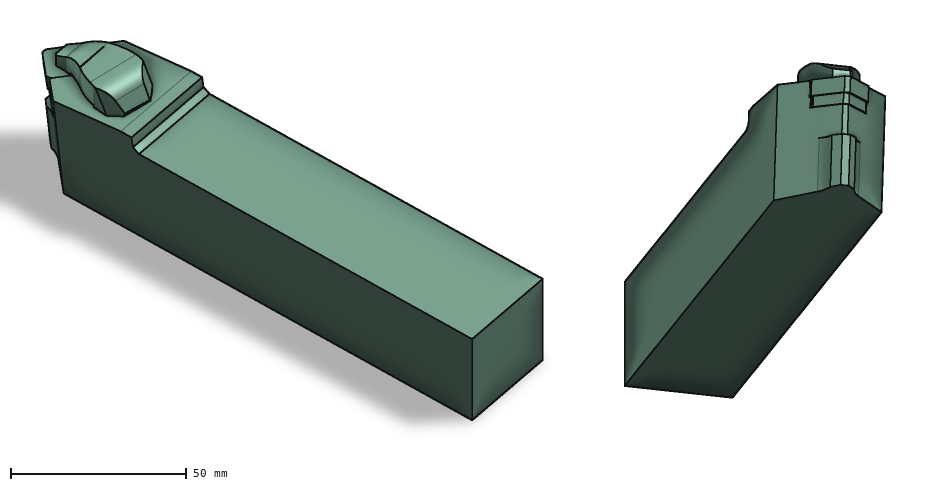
import cadquery as cq
import math

LENGTH = 169.7
WIDTH = 32.0
SHANK_HEIGHT = 31.9
HEAD_TILT = 6.4
TIP_HEIGHT = 32.2
HEAD_TOP_HEIGHT = 36.8
LAND_END_X = 45.0
STEP_FOOT_X = 45.5
STEP_FOOT_HEIGHT = 33.3
SHANK_TOP_START_X = 47.7
NOSE_SETBACK = 1.2
NOSE_FLAT = 1.7

INSERT_REACH = 8.5
INSERT_THICKNESS = 4.8
SHIM_REACH = 7.8
SHIM_RECESS_REACH = 8.3
SHIM_THICKNESS = 3.2

PAD_TOP_DEPTH = 17.3
PAD_NOSE_RISE = 1.7
PAD_NOSE_HALF = 1.2
PAD_FACE_HALF = 3.5
PAD_FOOT_HALF = 6.1
PAD_FLANK_RADIUS = 10.0

CLAMP_TOP = 43.6
CLAMP_NOSE_X = 6.3
CLAMP_RAMP_X = 10.9
CLAMP_BACK_X = 19.0
TAIL_CREST_X = 28.3
TAIL_CREST_RADIUS = 10.2
TAIL_RISE = 6.0
TAIL_FALL = 45.0
TAIL_YAW = 10.0
CLAMP_GAP = 0.7
CONTACT_END = 13.2
SEAT_START = 27.8
TAIL_BEVELS = [
    ((29.0, -11.9, 43.1), (5.2, -9.9, 4.5)),
    ((35.6, 0.7, 41.2), (5.7, 2.5, 4.3)),
]

TILT = math.radians(HEAD_TILT)
BIG = 101.8
PLAN_END_X = 2 * LENGTH
FRONT_X = -8.5


def lean(shape):
    """Place a shape drawn about the cutting tip, with z = 0 as the head top plane."""
    return shape.rotate((0, 0, 0), (0, 1, 0), -HEAD_TILT).translate((0, 0, TIP_HEIGHT))


def corner_cut_square(reach, center_x):
    """Square standing on its corner, each corner cut by a flat."""
    half = NOSE_FLAT / 2
    points = [
        (reach, -half), (reach, half), (half, reach), (-half, reach),
        (-reach, half), (-reach, -half), (-half, -reach), (half, -reach),
    ]
    return cq.Workplane("XY").polyline([(center_x + x, y) for x, y in points]).close()


def square_plate(reach, top_depth, thickness):
    """Leaning plate on the insert centre, its top face this far below the head top plane."""
    plate = corner_cut_square(reach, INSERT_REACH).extrude(-thickness)
    return lean(plate.translate((0, 0, -top_depth)))


def make_insert():
    return square_plate(INSERT_REACH, 0, INSERT_THICKNESS)


def make_shim():
    return square_plate(SHIM_REACH, INSERT_THICKNESS, SHIM_THICKNESS)


def make_pocket():
    """Seat for the insert, with a smaller recess below it that leaves a gap behind the shim."""
    return make_insert().union(square_plate(SHIM_RECESS_REACH, INSERT_THICKNESS, SHIM_THICKNESS))


def make_body():
    """Shank and head in one block, with the raised pad on the nose."""
    slope_end_x = (HEAD_TOP_HEIGHT - TIP_HEIGHT) / math.tan(TILT)
    profile = (
        cq.Workplane("XZ")
        .moveTo(FRONT_X, 0)
        .lineTo(LENGTH, 0)
        .lineTo(LENGTH, SHANK_HEIGHT)
        .lineTo(SHANK_TOP_START_X, SHANK_HEIGHT)
        .lineTo(STEP_FOOT_X, STEP_FOOT_HEIGHT)
        .lineTo(LAND_END_X, HEAD_TOP_HEIGHT)
        .lineTo(slope_end_x, HEAD_TOP_HEIGHT)
        .lineTo(FRONT_X, TIP_HEIGHT + FRONT_X * math.tan(TILT))
        .close()
        .extrude(WIDTH / 2, both=True)
    )
    return profile.intersect(make_wedge().union(make_pad()))


def make_wedge():
    """Leaning plan shape of the head: two 45 degree faces that meet at the flat nose."""
    half = WIDTH / 2
    shoulder_x = NOSE_SETBACK + half - NOSE_FLAT / 2
    wedge = (
        cq.Workplane("XY")
        .moveTo(NOSE_SETBACK, -NOSE_FLAT / 2)
        .lineTo(shoulder_x, -half)
        .lineTo(PLAN_END_X, -half)
        .lineTo(PLAN_END_X, half)
        .lineTo(shoulder_x, half)
        .lineTo(NOSE_SETBACK, NOSE_FLAT / 2)
        .close()
        .extrude(BIG, both=True)
    )
    return lean(wedge)


def make_pad():
    """Raised faces beside the nose, run out into the head by concave flanks."""
    nose_x = NOSE_SETBACK - PAD_NOSE_RISE
    face_x = nose_x + PAD_FACE_HALF - PAD_NOSE_HALF
    foot_x = NOSE_SETBACK + PAD_FOOT_HALF - NOSE_FLAT / 2
    pad = (
        cq.Workplane("XY")
        .moveTo(nose_x, -PAD_NOSE_HALF)
        .lineTo(face_x, -PAD_FACE_HALF)
        .radiusArc((foot_x, -PAD_FOOT_HALF), PAD_FLANK_RADIUS)
        .lineTo(foot_x, PAD_FOOT_HALF)
        .radiusArc((face_x, PAD_FACE_HALF), PAD_FLANK_RADIUS)
        .lineTo(nose_x, PAD_NOSE_HALF)
        .close()
        .extrude(-BIG)
    )
    return lean(pad.translate((0, 0, -PAD_TOP_DEPTH)))


def make_clamp():
    """Clamp finger, cut to its plan and side shapes and bevelled at the tail."""
    clamp = make_clamp_outline().intersect(make_finger_profile()).intersect(make_tail_profile())
    for point, normal in TAIL_BEVELS:
        clamp = clamp.cut(half_space(point, normal))
    head_side = lean(half_space((0, 0, 0), (0, 0, -1)))
    return clamp.cut(head_side).cut(make_finger_gap())


def half_space(point, normal):
    """Large block that starts at the plane through the point and fills the side the normal points to."""
    return cq.Workplane(cq.Plane(origin=point, normal=normal)).rect(BIG, BIG).extrude(BIG)


def make_clamp_outline():
    """Plan shape of the clamp, from the blunt nose round to the broad tail."""
    return (
        cq.Workplane("XY")
        .moveTo(CLAMP_NOSE_X, -2.5)
        .lineTo(7.1, -3.4)
        .lineTo(CLAMP_RAMP_X, -3.7)
        .spline([(13.5, -4.5), (19.0, -7.5)], includeCurrent=True)
        .spline([(24.1, -10.5), (SEAT_START, -11.9)], includeCurrent=True)
        .lineTo(33.5, -12.9)
        .lineTo(37.5, -10.5)
        .lineTo(39.5, -0.7)
        .lineTo(36.8, 3.5)
        .spline([(32.2, 5.3), (28.5, 6.1), (22.9, 6.3), (18.3, 5.6), (7.5, 2.9)], includeCurrent=True)
        .lineTo(CLAMP_NOSE_X, 2.5)
        .close()
        .extrude(BIG)
    )


def make_finger_profile():
    """Side shape of the finger, a ramp and then a rounded rise up to the tail top."""
    return (
        cq.Workplane("XZ")
        .moveTo(CLAMP_NOSE_X, 0)
        .lineTo(CLAMP_NOSE_X, 36.6)
        .lineTo(CLAMP_RAMP_X, 39.0)
        .threePointArc((14.3, 41.0), (CLAMP_BACK_X, 42.6))
        .lineTo(BIG, BIG)
        .lineTo(BIG, 0)
        .close()
        .extrude(BIG, both=True)
    )


def make_tail_profile():
    """Side shape of the turned tail: a gentle rise, tangent to a round crest, tangent to the rear slope."""
    rise = math.radians(TAIL_RISE)
    fall = math.radians(TAIL_FALL)

    def crest_point(angle):
        return (
            TAIL_CREST_X + TAIL_CREST_RADIUS * math.sin(angle),
            CLAMP_TOP - TAIL_CREST_RADIUS * (1 - math.cos(angle)),
        )

    crest_start = crest_point(-rise)
    crest_end = crest_point(fall)
    return (
        cq.Workplane("XZ")
        .moveTo(0, 0)
        .lineTo(0, crest_start[1] - crest_start[0] * math.tan(rise))
        .lineTo(*crest_start)
        .threePointArc(crest_point(0), crest_end)
        .lineTo(crest_end[0] + crest_end[1] / math.tan(fall), 0)
        .close()
        .extrude(BIG, both=True)
        .rotate((0, 0, 0), (0, 0, 1), -TAIL_YAW)
    )


def make_finger_gap():
    """Clearance under the finger, between the nose contact and the tail seat."""
    length = SEAT_START - CONTACT_END
    gap = cq.Workplane("XY").box(length, BIG, CLAMP_GAP, centered=(False, True, False))
    return lean(gap.translate((CONTACT_END, 0, 0)))


insert = make_insert()
holder = make_body().cut(make_pocket()).union(make_shim()).union(make_clamp())
result = cq.Compound.makeCompound([*holder.solids().vals(), insert.val()])